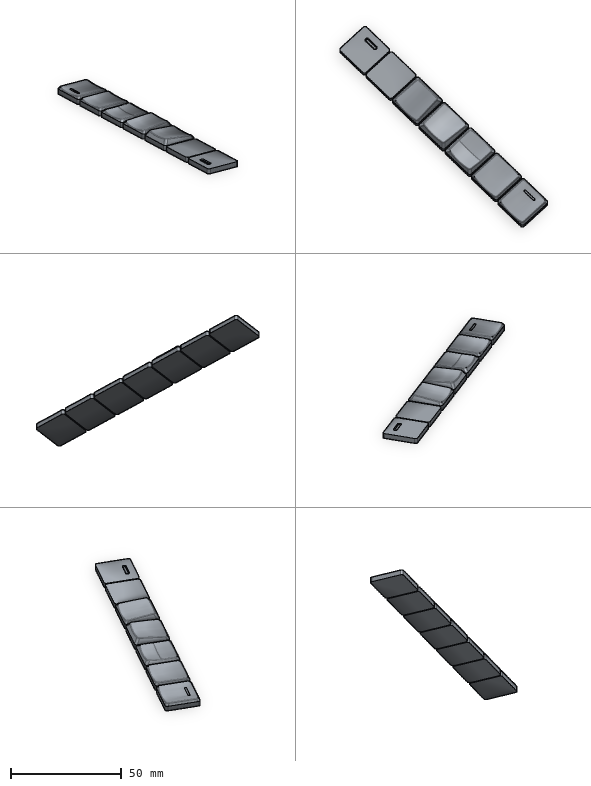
import cadquery as cq
import math

row_length = 118.5
key_count = 7
key_size = 16.5
corner_radius = 1.1
base_height = 2.5
cap_height = 5.3

wall_angle = 34.0
creased_wall_angle = 45.0

dish_radius = 32.0
level_floor = 2.8
tilted_floor = 3.7
tilt = 5.5
rear_tilt = 4.5
crease_y = 0.2
rim_radius = 0.4

bar_length = 6.6
bar_radius = 0.5
bar_y = -4.3

groove_length = 6.8
groove_width = 1.8
groove_corner_radius = 0.6
groove_depth = 0.5
groove_wall_angle = 35.0
groove_y = -4.0

pitch = (row_length - key_size) / (key_count - 1)
first_key_x = (key_size - row_length) / 2
dish_length = 2 * key_size
tolerance = 0.01


def rounded_rectangle(length, width, radius, center):
    """Sketch of a rectangle with rounded corners, moved to the given centre."""
    outline = cq.Sketch().rect(length, width).vertices().fillet(radius)
    return outline.moved(cq.Location(cq.Vector(*center)))


def square_at(size, height):
    return rounded_rectangle(size, size, corner_radius, (0, 0, height))


def plate():
    """Square block with rounded vertical edges, standing on Z = 0."""
    return cq.Workplane("XY").placeSketch(square_at(key_size, 0)).extrude(base_height)


def blank_cap(lean):
    """Straight base carrying a tapered cap that has no dish yet."""
    inset = (cap_height - base_height) * math.tan(math.radians(lean))
    foot = square_at(key_size, base_height)
    crown = square_at(key_size - 2 * inset, cap_height)
    taper = cq.Workplane("XY").placeSketch(foot, crown).loft(ruled=True)
    return plate().union(taper)


def dish_cutter(floor, lean=0.0, pivot_y=0.0):
    """Cylinder along Y whose lowest line passes the floor height at pivot_y.

    A positive lean lifts the +Y end.
    """
    return (
        cq.Workplane("XZ", origin=(0, dish_length / 2, floor + dish_radius))
        .circle(dish_radius)
        .extrude(dish_length)
        .rotate((0, 0, floor), (1, 0, floor), lean)
        .translate((0, pivot_y, 0))
    )


def round_rim(cap):
    """Round the edges between the dish and the walls, leaving a crease across the dish sharp."""

    def is_rim(edge):
        box = edge.BoundingBox()
        is_above_base = box.zmin > base_height + tolerance
        is_crease = box.xlen > key_size / 2 and abs(edge.Center().y - crease_y) < key_size / 4
        return is_above_base and not is_crease

    rim = [edge for edge in cap.edges().vals() if is_rim(edge)]
    return cap.newObject(rim).fillet(rim_radius)


def level_key():
    return round_rim(blank_cap(wall_angle).cut(dish_cutter(level_floor)))


def tilted_key(lean):
    return round_rim(blank_cap(wall_angle).cut(dish_cutter(tilted_floor, lean)))


def creased_key():
    """Cap with a dish that is level in front and rises behind a crease."""
    front_dish = dish_cutter(level_floor)
    rear_dish = dish_cutter(level_floor, rear_tilt, crease_y)
    return round_rim(blank_cap(creased_wall_angle).cut(front_dish.intersect(rear_dish)))


def homing_key():
    """Level cap with a round-ended bar lying half sunk in the dish."""
    straight = bar_length - 2 * bar_radius
    origin = (-straight / 2, bar_y, level_floor)
    bar = cq.Workplane("YZ", origin=origin).circle(bar_radius).extrude(straight)
    for end_x in (-straight / 2, straight / 2):
        bar = bar.union(cq.Workplane("XY", origin=(end_x, bar_y, level_floor)).sphere(bar_radius))
    return level_key().union(bar)


def grooved_plate():
    """Plate with a short groove whose walls narrow towards its flat floor."""
    inset = groove_depth * math.tan(math.radians(groove_wall_angle))
    mouth = rounded_rectangle(groove_length, groove_width, groove_corner_radius, (0, groove_y, base_height))
    floor = rounded_rectangle(
        groove_length - 2 * inset,
        groove_width - 2 * inset,
        groove_corner_radius - inset,
        (0, groove_y, base_height - groove_depth),
    )
    return plate().cut(cq.Workplane("XY").placeSketch(mouth, floor).loft(ruled=True))


def place(key, index):
    return key.translate((first_key_x + index * pitch, 0, 0))


row = [
    homing_key(),
    level_key(),
    creased_key(),
    tilted_key(tilt),
    tilted_key(-tilt),
    plate(),
    grooved_plate(),
]

result = cq.Compound.makeCompound([place(key, index).val() for index, key in enumerate(row)])